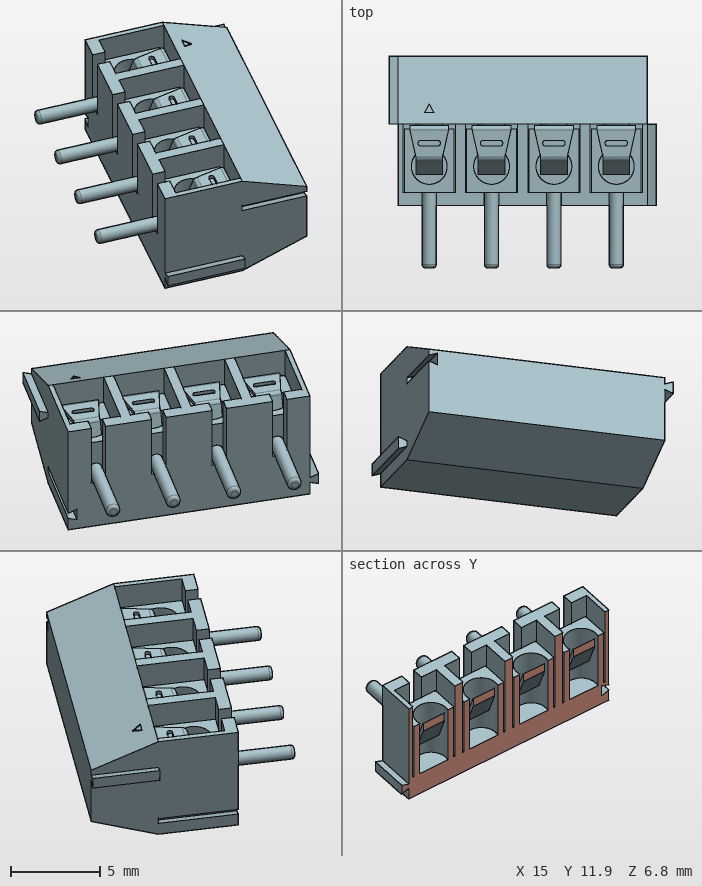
import cadquery as cq
import math


overall_length = 15.0
body_length = 14.0
body_depth = 8.4
body_height = 6.8
mid_height = body_height / 2
shoulder_y = 4.58
slope_drop = 1.52
pole_count = 4
pole_pitch = body_length / pole_count
pole_positions = [(pole + 0.5) * pole_pitch for pole in range(pole_count)]

dovetail_reach = (overall_length - body_length) / 2
dovetail_root = 0.35
dovetail_tip = 0.7
rear_dovetail_z = body_height - 2.05
front_dovetail_z = 0.98

pocket_width = 2.92
pocket_front_y = 0.74
pocket_gap = 0.068

pin_diameter = 0.8
pin_length = 3.5
pin_round = 0.2
slot_width = 0.82
slot_floor = mid_height - pin_diameter / 2

clamp_width = pocket_width - 2 * pocket_gap
clamp_top = body_height - 1.53
clamp_bottom = body_height - clamp_top
clamp_hole_radius = 1.0
clamp_hole_y = 2.2
screw_diameter = 1.5

leaf_thickness = 0.21
leaf_bend_radius = 0.25
leaf_top = clamp_top + leaf_thickness
leaf_rear_y = shoulder_y - pocket_gap
clamp_rear_y = leaf_rear_y - leaf_thickness
leaf_front_y = 2.75
leaf_rear_width = 2.18
leaf_front_width = 1.5
leaf_tip_y = 1.74
leaf_tip_angle = 70.0
leaf_slot_length = 1.26
leaf_slot_width = 0.32
leaf_slot_y = 3.51

mark_base = 0.51
mark_height = 0.48
mark_base_y = 5.24
mark_depth = 0.06


def box(x_center, width, y_min, y_max, z_min, z_max):
    """Box centred on x_center and set by its limits in Y and Z."""
    size = (width, y_max - y_min, z_max - z_min)
    corner = (x_center - width / 2, y_min, z_min)
    return cq.Workplane("XY").box(*size, centered=False).translate(corner)


def cylinder_along_y(x, z, diameter, y_min, y_max):
    disc = cq.Workplane("XZ", origin=(x, y_max, z)).circle(diameter / 2)
    return disc.extrude(y_max - y_min)


def housing():
    outline = [
        (0, 0),
        (shoulder_y, 0),
        (body_depth, slope_drop),
        (body_depth, body_height - slope_drop),
        (shoulder_y, body_height),
        (0, body_height),
    ]
    return cq.Workplane("YZ").polyline(outline).close().extrude(body_length)


def dovetail(root_x, reach, z, y_min, y_max):
    """Bar along Y that widens from root_x towards root_x + reach."""
    outline = [
        (root_x, z - dovetail_root / 2),
        (root_x, z + dovetail_root / 2),
        (root_x + reach, z + dovetail_tip / 2),
        (root_x + reach, z - dovetail_tip / 2),
    ]
    face = cq.Workplane("XZ", origin=(0, y_max, 0)).polyline(outline).close()
    return face.extrude(y_max - y_min)


def pole_mark(x):
    """Shallow triangle sunk into the upper slope."""
    slope = slope_drop / (body_depth - shoulder_y)
    surface_z = body_height - slope * (mark_base_y - shoulder_y)
    tip_y = mark_base_y + mark_height
    tip_z = surface_z - slope * mark_height
    left = cq.Vector(x - mark_base / 2, mark_base_y, surface_z - mark_depth)
    right = cq.Vector(x + mark_base / 2, mark_base_y, surface_z - mark_depth)
    tip = cq.Vector(x, tip_y, tip_z - mark_depth)
    outline = cq.Wire.makePolygon([left, right, tip], close=True)
    return cq.Workplane(cq.Solid.extrudeLinear(outline, [], cq.Vector(0, 0, 2 * mark_depth)))


def pocket(x):
    cavity = box(x, pocket_width, pocket_front_y, shoulder_y, clamp_bottom, body_height)
    slot = box(x, slot_width, 0, pocket_front_y, slot_floor, body_height)
    return cavity.union(slot)


def clamp(x):
    block = box(x, clamp_width, pocket_front_y, clamp_rear_y, clamp_bottom, clamp_top)
    hole = cq.Workplane("XY", origin=(x, clamp_hole_y, clamp_bottom)).circle(clamp_hole_radius)
    return block.cut(hole.extrude(clamp_top - clamp_bottom))


def leaf_spring(x):
    """Strip that hangs behind the clamp, lies on its top and dips steeply into its hole."""
    tilt = math.radians(leaf_tip_angle)
    half_tilt = tilt / 2
    inner_radius = leaf_bend_radius - leaf_thickness
    bend_z = leaf_top - leaf_bend_radius
    rear_bend_y = leaf_rear_y - leaf_bend_radius
    diagonal = math.sqrt(0.5)

    def rear_bend(radius):
        """Point halfway round the rear bend."""
        return (rear_bend_y + radius * diagonal, bend_z + radius * diagonal)

    def front_bend(radius, angle):
        """Point on the front bend, with the angle measured from its top."""
        return (leaf_front_y - radius * math.sin(angle), bend_z + radius * math.cos(angle))

    bend_end_y, bend_end_z = front_bend(leaf_bend_radius, tilt)
    tip_z = bend_end_z - (bend_end_y - leaf_tip_y) * math.tan(tilt)
    tip_inner_y = leaf_tip_y + leaf_thickness * math.sin(tilt)
    tip_inner_z = tip_z - leaf_thickness * math.cos(tilt)

    profile = (
        cq.Workplane("YZ", origin=(x - leaf_rear_width / 2, 0, 0))
        .moveTo(leaf_rear_y, clamp_bottom)
        .lineTo(leaf_rear_y, bend_z)
        .threePointArc(rear_bend(leaf_bend_radius), (rear_bend_y, leaf_top))
        .lineTo(leaf_front_y, leaf_top)
        .threePointArc(front_bend(leaf_bend_radius, half_tilt), (bend_end_y, bend_end_z))
        .lineTo(leaf_tip_y, tip_z)
        .lineTo(tip_inner_y, tip_inner_z)
        .lineTo(*front_bend(inner_radius, tilt))
        .threePointArc(front_bend(inner_radius, half_tilt), (leaf_front_y, clamp_top))
        .lineTo(rear_bend_y, clamp_top)
        .threePointArc(rear_bend(inner_radius), (clamp_rear_y, bend_z))
        .lineTo(clamp_rear_y, clamp_bottom)
        .close()
    )
    strip = profile.extrude(leaf_rear_width)

    plan = [
        (x - leaf_rear_width / 2, leaf_rear_y),
        (x - leaf_rear_width / 2, rear_bend_y),
        (x - leaf_front_width / 2, leaf_front_y),
        (x - leaf_front_width / 2, 0),
        (x + leaf_front_width / 2, 0),
        (x + leaf_front_width / 2, leaf_front_y),
        (x + leaf_rear_width / 2, rear_bend_y),
        (x + leaf_rear_width / 2, leaf_rear_y),
    ]
    tapered = cq.Workplane("XY").polyline(plan).close().extrude(body_height)
    slot = (
        cq.Workplane("XY", origin=(x, leaf_slot_y, clamp_top))
        .slot2D(leaf_slot_length, leaf_slot_width)
        .extrude(leaf_thickness)
    )
    return strip.intersect(tapered).cut(slot)


def screw(x):
    """Shank that crosses the gap between the leaf spring and the rear pocket wall."""
    return cylinder_along_y(x, mid_height, screw_diameter, clamp_rear_y, shoulder_y)


def pin(x):
    shaft = cylinder_along_y(x, mid_height, pin_diameter, -pin_length, pocket_front_y)
    return shaft.faces("<Y").edges().fillet(pin_round)


body = housing()

body = body.union(dovetail(0, -dovetail_reach, rear_dovetail_z, shoulder_y, body_depth))
body = body.union(dovetail(body_length, dovetail_reach, front_dovetail_z, 0, shoulder_y))
body = body.cut(dovetail(0, dovetail_reach, front_dovetail_z, 0, shoulder_y))
body = body.cut(dovetail(body_length, -dovetail_reach, rear_dovetail_z, shoulder_y, body_depth))

body = body.cut(pole_mark(pole_positions[0]))

for pole_x in pole_positions:
    body = body.cut(pocket(pole_x))
    body = body.union(clamp(pole_x))
    body = body.union(leaf_spring(pole_x))
    body = body.union(screw(pole_x))
    body = body.union(pin(pole_x))

result = body